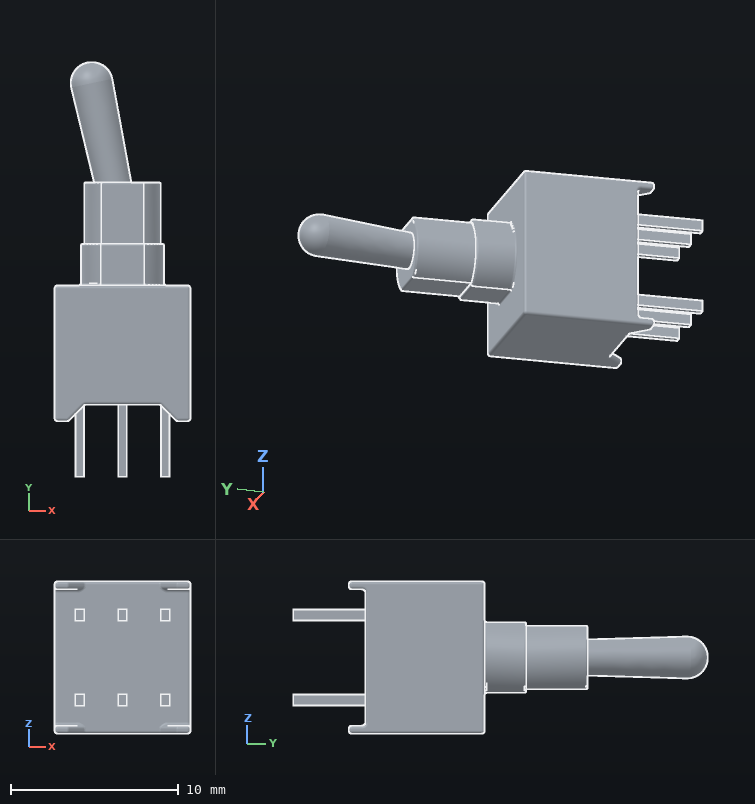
import cadquery as cq
import math

TOTAL_LENGTH = 24.7
TERMINAL_REACH = 11.42

BODY_WIDTH = 8.1
BODY_HEIGHT = 9.1
BODY_DEPTH = 7.12
EDGE_RADIUS = 0.2

FOOT_LENGTH = 1.0
FOOT_TIP_WIDTH = 0.82
FOOT_THICKNESS = 0.5

TERMINAL_WIDTH = 0.52
TERMINAL_HEIGHT = 0.67
TERMINAL_PITCH = 2.55
ROW_SPACING = 5.07
TERMINAL_COLUMNS = 3

COLLAR_DIAMETER = 4.97
COLLAR_FLATS = 4.23
COLLAR_LENGTH = 2.47
NECK_DIAMETER = 4.57
NECK_FLATS = 3.8
NECK_LENGTH = 3.65
RIM_RADIUS = 0.12

LEVER_TILT = 12.0
BALL_RADIUS = 1.25
LEVER_ROOT_RADIUS = 1.01
PIVOT_Y = 3.4


def make_foot_outline(side):
    """Foot outline in X and Y, flush with one X side and sloping 45 degrees inward."""
    outer_x = side * BODY_WIDTH / 2
    tip_x = outer_x - side * FOOT_TIP_WIDTH
    root_x = tip_x - side * FOOT_LENGTH
    tip_y = -BODY_DEPTH - FOOT_LENGTH
    return [(outer_x, -BODY_DEPTH), (outer_x, tip_y), (tip_x, tip_y), (root_x, -BODY_DEPTH)]


def make_body():
    """Rounded housing with a foot at each corner of the terminal face."""
    body = cq.Workplane("XY").box(BODY_WIDTH, BODY_DEPTH, BODY_HEIGHT)
    body = body.translate((0, -BODY_DEPTH / 2, 0))
    for side in (-1, 1):
        for foot_bottom in (-BODY_HEIGHT / 2, BODY_HEIGHT / 2 - FOOT_THICKNESS):
            foot = (
                cq.Workplane("XY")
                .workplane(offset=foot_bottom)
                .polyline(make_foot_outline(side))
                .close()
                .extrude(FOOT_THICKNESS)
            )
            body = body.union(foot)
    return body.clean().edges().fillet(EDGE_RADIUS)


def make_terminals():
    """Two rows of rectangular pins."""
    length = TERMINAL_REACH - BODY_DEPTH
    return (
        cq.Workplane("XZ", origin=(0, -BODY_DEPTH, 0))
        .rarray(TERMINAL_PITCH, ROW_SPACING, TERMINAL_COLUMNS, 2)
        .rect(TERMINAL_WIDTH, TERMINAL_HEIGHT)
        .extrude(length)
    )


def make_flatted_cylinder(diameter, across_flats, start_y, length):
    """Cylinder along +Y with two flats and a rounded far rim."""
    cylinder = cq.Workplane("XZ", origin=(0, start_y, 0)).circle(diameter / 2).extrude(-length)
    slab = cq.Workplane("XY").box(diameter, length, across_flats).translate((0, start_y + length / 2, 0))
    return cylinder.intersect(slab).faces(">Y").edges().fillet(RIM_RADIUS)


def make_housing():
    """Body joined to the bushing collar with a fillet around the collar root."""
    collar = make_flatted_cylinder(COLLAR_DIAMETER, COLLAR_FLATS, 0, COLLAR_LENGTH)
    root_zone = cq.selectors.BoxSelector(
        (-COLLAR_DIAMETER / 2 - RIM_RADIUS, -RIM_RADIUS / 2, -COLLAR_FLATS / 2 - RIM_RADIUS),
        (COLLAR_DIAMETER / 2 + RIM_RADIUS, RIM_RADIUS / 2, COLLAR_FLATS / 2 + RIM_RADIUS),
    )
    return make_body().union(collar).edges(root_zone).fillet(RIM_RADIUS)


def make_lever():
    """Tapered, tilted lever with a ball end."""
    tilt = math.radians(LEVER_TILT)
    tip_y = TOTAL_LENGTH - TERMINAL_REACH
    ball_distance = (tip_y - BALL_RADIUS - PIVOT_Y) / math.cos(tilt)
    profile = (
        cq.Workplane("XY")
        .lineTo(LEVER_ROOT_RADIUS, 0)
        .lineTo(BALL_RADIUS, ball_distance)
        .radiusArc((0, ball_distance + BALL_RADIUS), -BALL_RADIUS)
        .close()
    )
    lever = profile.revolve(360, (0, 0, 0), (0, 1, 0))
    return lever.rotate((0, 0, 0), (0, 0, 1), LEVER_TILT).translate((0, PIVOT_Y, 0))


neck = make_flatted_cylinder(NECK_DIAMETER, NECK_FLATS, COLLAR_LENGTH, NECK_LENGTH)

result = make_housing().union(make_terminals()).union(neck).union(make_lever())